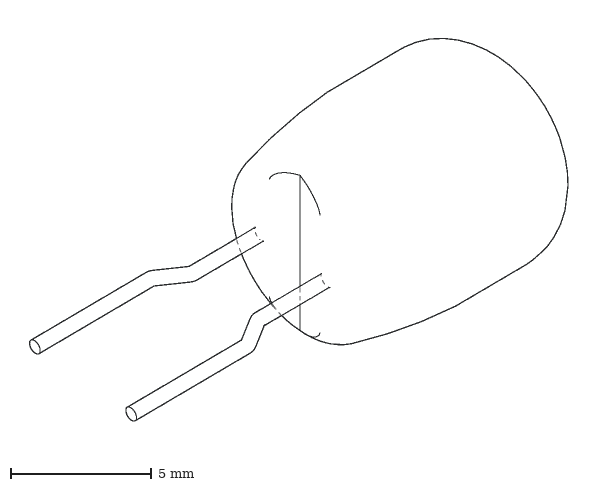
import cadquery as cq
import math


overall_length = 21.05
body_diameter = 8.9
body_radius = body_diameter / 2
body_length = 10.8
band_start = 4.75
band_end = 8.2
barrel_mid_radius = 4.28
barrel_mid_y = 3.01
base_radius = 3.62
base_fillet = 0.78
crown_flat_radius = 1.1

groove_half_width = 1.33
groove_depth = 0.25

wire_diameter = 0.57
wire_radius = wire_diameter / 2
inner_pitch = 3.5
outer_pitch = 5.08
inner_x = inner_pitch / 2
outer_x = outer_pitch / 2
lead_end_y = body_length - overall_length
jog_start_y = -3.4
jog_angle = math.radians(33)
bend_radius = 0.3
collar_fillet = 0.13
embed_depth = 0.42


def make_body():
    outline = (
        cq.Workplane("XY")
        .moveTo(0, 0)
        .lineTo(base_radius, 0)
        .threePointArc((barrel_mid_radius, barrel_mid_y), (body_radius, band_start))
        .lineTo(body_radius, band_end)
        .ellipseArc(body_radius - crown_flat_radius, body_length - band_end, 0, 90)
        .lineTo(0, body_length)
        .close()
    )
    body = outline.revolve(360, (0, 0, 0), (0, 1, 0))
    return body.faces("<Y").edges().fillet(base_fillet)


def make_groove():
    return (
        cq.Workplane("XY")
        .polyline([(-groove_half_width, 0), (groove_half_width, 0), (0, groove_depth)])
        .close()
        .extrude(body_radius, both=True)
    )


def make_lead():
    """Right-hand lead: a round wire swept along a jogged axis with two bends."""
    setback = bend_radius * math.tan(jog_angle / 2)
    bend_dx = setback * math.sin(jog_angle)
    bend_dy = setback * math.cos(jog_angle)
    jog_end_y = jog_start_y - (outer_x - inner_x) / math.tan(jog_angle)
    axis = (
        cq.Workplane("XY")
        .moveTo(inner_x, embed_depth)
        .lineTo(inner_x, jog_start_y + setback)
        .tangentArcPoint((inner_x + bend_dx, jog_start_y - bend_dy), relative=False)
        .lineTo(outer_x - bend_dx, jog_end_y + bend_dy)
        .tangentArcPoint((outer_x, jog_end_y - setback), relative=False)
        .lineTo(outer_x, lead_end_y)
    )
    section = cq.Workplane("XZ", origin=(inner_x, embed_depth, 0)).circle(wire_radius)
    return section.sweep(axis)


def make_collar():
    """Concave flare around the right-hand lead, widening to meet the base."""
    flare_radius = wire_radius + collar_fillet
    arc_reach = collar_fillet * (1 - math.sqrt(0.5))
    return (
        cq.Workplane("XY", origin=(inner_x, 0, 0))
        .lineTo(flare_radius, 0)
        .threePointArc((wire_radius + arc_reach, -arc_reach), (wire_radius, -collar_fillet))
        .lineTo(0, -collar_fillet)
        .close()
        .revolve(360, (0, 0, 0), (0, 1, 0))
    )


right_lead = make_lead().union(make_collar())
left_lead = right_lead.mirror("YZ")
result = make_body().cut(make_groove()).union(right_lead).union(left_lead)